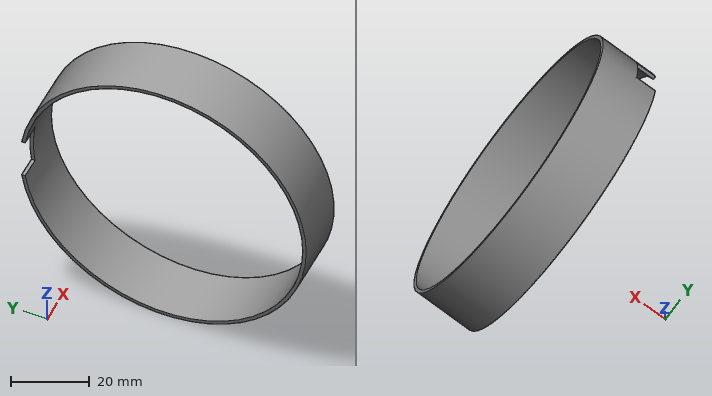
import cadquery as cq

outer_diameter = 80.0
inner_diameter = 78.0
ring_width = 17.0

notch_depth = 6.0
notch_height = 12.0


def make_ring():
    return (
        cq.Workplane("YZ")
        .circle(outer_diameter / 2)
        .circle(inner_diameter / 2)
        .extrude(ring_width)
    )


def make_notch_cutter():
    return cq.Workplane("XY").box(
        notch_depth, outer_diameter, notch_height, centered=(False, False, True)
    )


result = make_ring().cut(make_notch_cutter())